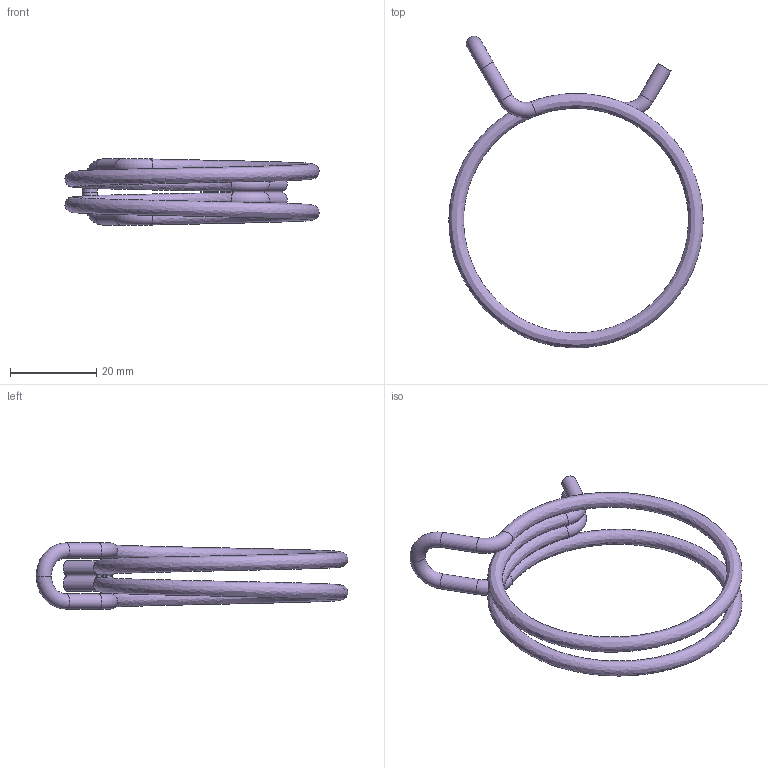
import cadquery as cq
import math


wire_diameter = 3.5
coil_outer_diameter = 58.86
overall_height = 15.3
tail_gap = 0.1
bend_radius = 5.5
loop_tang_angle = 120.0
tail_tang_angle = 60.0
loop_straight_end = 41.35
tail_end = 41.0

wire_radius = wire_diameter / 2
coil_radius = coil_outer_diameter / 2 - wire_radius
loop_radius = overall_height / 2 - wire_radius
loop_height = loop_radius
tail_height = tail_gap / 2 + wire_radius

bend_centre_distance = coil_radius + bend_radius
bend_span = math.degrees(math.asin(bend_radius / bend_centre_distance))
bend_outer_distance = bend_centre_distance * math.cos(math.radians(bend_span))

coil_start_angle = tail_tang_angle + bend_span
full_turn = 360
coil_end_angle = loop_tang_angle - bend_span + full_turn
coil_sweep = coil_end_angle - coil_start_angle
coil_rise = loop_height - tail_height
coil_pitch = coil_rise * full_turn / coil_sweep


def polar(distance, angle, height):
    """Point at a distance and angle (degrees) from the coil axis."""
    radians = math.radians(angle)
    return cq.Vector(distance * math.cos(radians), distance * math.sin(radians), height)


def bend_edge(tang_angle, coil_angle, height):
    """Arc from the radial tang to the coil circle."""
    tang_point = polar(bend_outer_distance, tang_angle, height)
    coil_point = polar(coil_radius, coil_angle, height)
    centre = polar(bend_centre_distance, coil_angle, height)
    chord_middle = (tang_point + coil_point) * 0.5
    middle = centre + (chord_middle - centre).normalized() * bend_radius
    return cq.Edge.makeThreePointArc(tang_point, middle, coil_point)


def coil_edge():
    """Helix rising counter-clockwise from the tail bend to the loop bend."""
    helix = cq.Wire.makeHelix(coil_pitch, coil_rise, coil_radius)
    turned = helix.rotate(cq.Vector(0, 0, 0), cq.Vector(0, 0, 1), coil_start_angle)
    return turned.translate(cq.Vector(0, 0, tail_height)).Edges()[0]


def half_loop_edge():
    """Quarter circle from the upper tang down to the mid plane."""
    middle_reach = loop_radius * math.sin(math.pi / 4)
    start = polar(loop_straight_end, loop_tang_angle, loop_height)
    middle = polar(loop_straight_end + middle_reach, loop_tang_angle, middle_reach)
    end = polar(loop_straight_end + loop_radius, loop_tang_angle, 0)
    return cq.Edge.makeThreePointArc(start, middle, end)


def swept_wire(edge, start, direction, frenet=False):
    """Round wire along an edge; its end section faces the given direction at the start point."""
    section_plane = cq.Plane(origin=start, xDir=cq.Vector(0, 0, 1), normal=direction)
    section = cq.Workplane(section_plane).circle(wire_radius)
    path = cq.Workplane(cq.Wire.assembleEdges([edge]))
    return section.sweep(path, isFrenet=frenet)


def radial_wire(edge, distance, angle, height):
    """Wire along an edge that starts on a radial tang, with a section square to that tang."""
    return swept_wire(edge, polar(distance, angle, height), polar(1, angle, 0))


def bend(tang_angle, coil_angle, height):
    """Wire bend between a radial tang and the coil."""
    edge = bend_edge(tang_angle, coil_angle, height)
    return radial_wire(edge, bend_outer_distance, tang_angle, height)


def tang(end_distance, angle, height):
    """Straight radial wire from the end of a bend."""
    start = polar(bend_outer_distance, angle, height)
    end = polar(end_distance, angle, height)
    return radial_wire(cq.Edge.makeLine(start, end), bend_outer_distance, angle, height)


def coil():
    """Helical turn whose end sections lie square to the bends it meets."""
    start = polar(coil_radius, coil_start_angle, tail_height)
    return swept_wire(coil_edge(), start, polar(1, coil_start_angle + 90, 0), frenet=True)


def half_loop():
    """Upper half of the U loop."""
    return radial_wire(half_loop_edge(), loop_straight_end, loop_tang_angle, loop_height)


def upper_half():
    """Upper wire, from the cut tail to the tip of the loop."""
    pieces = coil()
    pieces = pieces.union(bend(tail_tang_angle, coil_start_angle, tail_height))
    pieces = pieces.union(tang(tail_end, tail_tang_angle, tail_height))
    pieces = pieces.union(bend(loop_tang_angle, coil_end_angle, loop_height))
    pieces = pieces.union(tang(loop_straight_end, loop_tang_angle, loop_height))
    return pieces.union(half_loop())


upper = upper_half()
result = upper.union(upper.mirror("XY"))